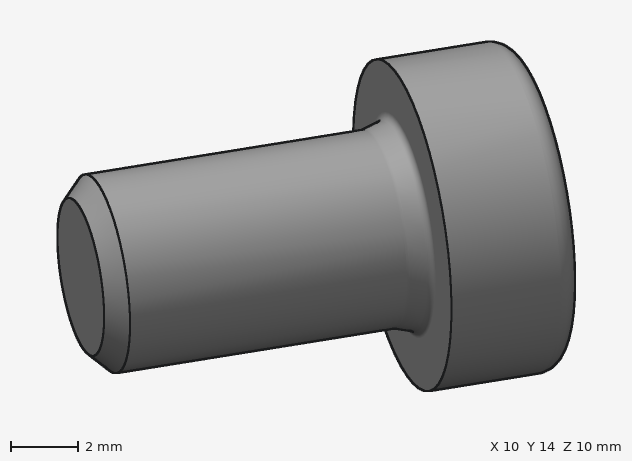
import cadquery as cq
import math

total_length = 14.0
head_radius = 5.0
head_height = 4.0
head_edge_radius = 0.6

shank_radius = 3.0
shank_length = total_length - head_height
tip_chamfer = 0.62

neck_radius = 3.4
head_blend_radius = 0.25
shank_blend_radius = 0.31
neck_angle = math.radians(17)


def arc_point(center, radius, angle):
    """Point on a circle, with the angle measured from +X toward +Y."""
    return (center[0] + radius * math.cos(angle), center[1] + radius * math.sin(angle))


def neck_points():
    """Neck outline from the shank up to the head, as (x, y) points.

    Returns the lower arc's start, middle and end, then the upper arc's
    start, middle and end. The cone is the straight line between the arcs.
    """
    upper_center = (neck_radius, -head_blend_radius)
    cone_normal = math.pi - neck_angle
    upper_start = arc_point(upper_center, head_blend_radius, cone_normal)
    upper_middle = arc_point(upper_center, head_blend_radius, (cone_normal + math.pi / 2) / 2)
    upper_end = (neck_radius, 0)

    lower_center_x = shank_radius + shank_blend_radius
    lower_end_x = lower_center_x - shank_blend_radius * math.cos(neck_angle)
    cone_height = (upper_start[0] - lower_end_x) / math.tan(neck_angle)
    lower_end_y = upper_start[1] - cone_height
    lower_center = (lower_center_x, lower_end_y - shank_blend_radius * math.sin(neck_angle))
    lower_start = (shank_radius, lower_center[1])
    lower_middle = arc_point(lower_center, shank_blend_radius, math.pi - neck_angle / 2)
    lower_end = (lower_end_x, lower_end_y)

    return lower_start, lower_middle, lower_end, upper_start, upper_middle, upper_end


def screw_profile():
    """Half section of the screw on the +X side of its axis."""
    lower_start, lower_middle, lower_end, upper_start, upper_middle, upper_end = neck_points()
    return (
        cq.Workplane("XY")
        .moveTo(0, -shank_length)
        .lineTo(shank_radius - tip_chamfer, -shank_length)
        .lineTo(shank_radius, -shank_length + tip_chamfer)
        .lineTo(*lower_start)
        .threePointArc(lower_middle, lower_end)
        .lineTo(*upper_start)
        .threePointArc(upper_middle, upper_end)
        .lineTo(head_radius, 0)
        .lineTo(head_radius, head_height - head_edge_radius)
        .radiusArc((head_radius - head_edge_radius, head_height), -head_edge_radius)
        .lineTo(0, head_height)
        .close()
    )


result = screw_profile().revolve(360, (0, 0, 0), (0, 1, 0))